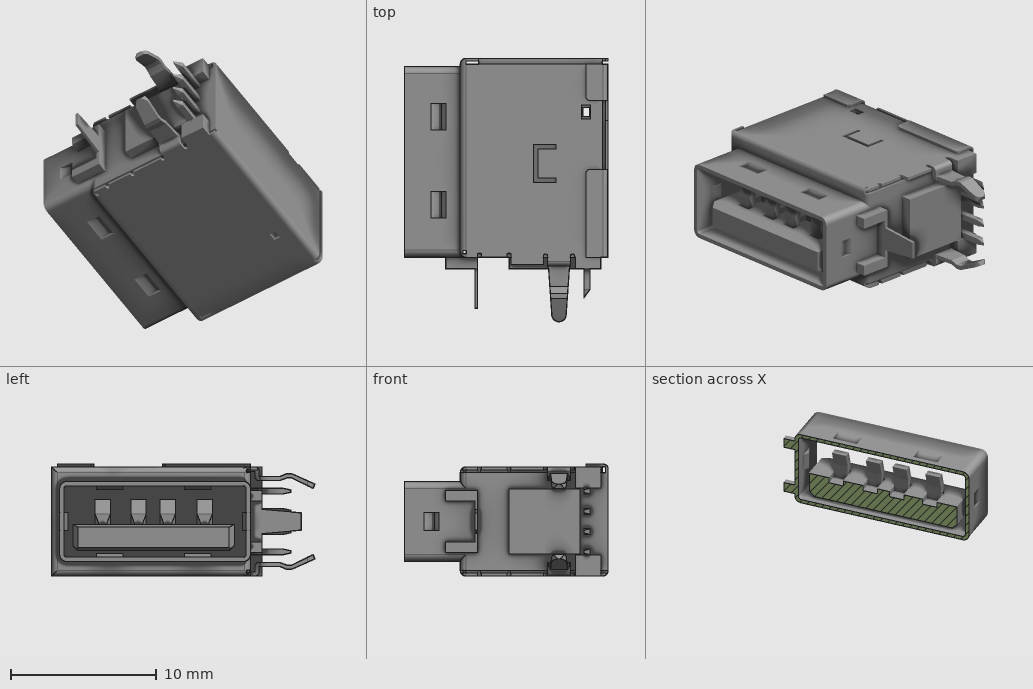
import cadquery as cq
import math


EPS = 0.05
SHEET = 0.2

MOUTH_WIDTH = 13.1
MOUTH_HEIGHT = 5.5
MOUTH_WALL = 0.3
MOUTH_RADIUS = 0.5
CAVITY_DEPTH = 9.0

LENGTH = 14.0
SHELL_FRONT = 3.84
SHELL_WIDTH = 13.66
SHELL_HEIGHT = 7.5
SHELL_TOP = SHELL_HEIGHT / 2
BEND_RADIUS = 0.4
GAP = 0.2
INSULATOR_TOP = SHELL_TOP - SHEET - GAP

STANDOFF = 0.8
BLADE_TIP = 3.5
LEG_TIP = 4.43
LEG_CENTER = 10.62
LEG_THICKNESS = 0.3

CONTACT_Y = (3.14, 5.68, 7.68, 10.14)
CONTACT_WIDTH = 1.05
TONGUE_TOP = -0.19
SLOT_DEPTH = 0.4
PIN_COUNT = 4
PIN_PITCH = 1.39


def block(x0, x1, y0, y1, z0, z1):
    """Box given by its limits."""
    return cq.Workplane("XY").box(x1 - x0, y1 - y0, z1 - z0, centered=False).translate((x0, y0, z0))


def mirrored_z(shape):
    """The shape together with its mirror image about z = 0."""
    return shape.union(shape.mirror("XY"))


def profile_along_y(points, y0, y1):
    """Prism along Y with an outline of (x, z) points."""
    return cq.Workplane("XZ", origin=(0, y1, 0)).polyline(points).close().extrude(y1 - y0)


def shell():
    """Solid envelope of the collar and the main shell, before hollowing."""
    collar = block(0, SHELL_FRONT + 1, 0, MOUTH_WIDTH, -MOUTH_HEIGHT / 2, MOUTH_HEIGHT / 2)
    collar = collar.edges("|X").fillet(MOUTH_RADIUS)
    body = block(SHELL_FRONT, LENGTH, 0, SHELL_WIDTH, -SHELL_TOP, SHELL_TOP)
    body = body.faces("<X").edges().fillet(BEND_RADIUS)
    body = body.faces(">X").edges("<Z").fillet(BEND_RADIUS)
    return body.union(collar)


def cavity():
    """Plug opening inside the collar."""
    half = MOUTH_HEIGHT / 2 - MOUTH_WALL
    opening = block(0, CAVITY_DEPTH, MOUTH_WALL, MOUTH_WIDTH - MOUTH_WALL, -half, half)
    return opening.edges("|X").fillet(MOUTH_RADIUS - MOUTH_WALL)


def tongue():
    """Insulator tongue with bevelled lead-in and a slot for each contact."""
    front, y0, y1, z0, z1 = 0.55, 1.1, 12.2, -2.0, TONGUE_TOP
    slot_front, slot_back = 1.8, 4.0
    lead_in, bevel_y, bevel_z = 0.5, 0.36, 0.2
    body = block(front, CAVITY_DEPTH + EPS, y0, y1, z0, z1)
    body = body.edges("|X and <Z").chamfer(bevel_y)
    nose_top = [
        (front, z1 - bevel_z),
        (front + lead_in, z1),
        (front, z1),
    ]
    nose_bottom = [
        (front, z0 + bevel_z),
        (front + lead_in, z0),
        (front, z0),
    ]
    for nose in (nose_top, nose_bottom):
        body = body.cut(profile_along_y(nose, y0, y1))
    for side, inward in ((y0, 1), (y1, -1)):
        corner = [
            (front, side),
            (front + lead_in, side),
            (front, side + inward * bevel_y),
        ]
        body = body.cut(cq.Workplane("XY", origin=(0, 0, z0)).polyline(corner).close().extrude(z1 - z0))
    for y in CONTACT_Y:
        half = CONTACT_WIDTH / 2
        body = body.cut(block(slot_front, slot_back, y - half, y + half, z1 - SLOT_DEPTH, z1))
    return body


def tetrahedron(corners):
    """Solid with four triangular faces."""
    faces = []
    for skipped in range(4):
        triangle = [cq.Vector(*corner) for index, corner in enumerate(corners) if index != skipped]
        faces.append(cq.Face.makeFromWires(cq.Wire.makePolygon(triangle, close=True)))
    return cq.Workplane(cq.Solid.makeSolid(cq.Shell.makeShell(faces)))


def contact(y):
    """Contact standing in its tongue slot: bevelled towards the foot, leaning back at the top."""
    front, thickness, lean, shoulder_z, top_z = 1.95, 0.5, 0.3, 0.52, 1.52
    bevel_y, bevel_x = 0.42, 0.42
    foot_z = TONGUE_TOP - SLOT_DEPTH
    half = CONTACT_WIDTH / 2
    side_outline = [
        (front, foot_z - EPS),
        (front, shoulder_z),
        (front + lean, top_z),
        (front + lean + thickness, top_z),
        (front + thickness, shoulder_z),
        (front + thickness, foot_z - EPS),
    ]
    body = profile_along_y(side_outline, y - half, y + half)
    for side in (-1, 1):
        edge_y = y + side * half
        bevel = tetrahedron([
            (front, edge_y, shoulder_z),
            (front, edge_y, foot_z),
            (front, edge_y - side * bevel_y, foot_z),
            (front + bevel_x, edge_y, foot_z),
        ])
        body = body.cut(bevel)
    return body


SPRING_DIP = 0.26
SPRING_LENGTH = 1.03
SPRING_RAMP = 0.62
SPRING_FLAT = 0.1
WALL_SPRING_X = 1.82
WALL_SPRING_Y = (3.62, 9.66)
WALL_SPRING_WIDTH = 1.82
SIDE_SPRING_X = 1.34
SIDE_SPRING_WIDTH = 1.22


def spring_outline(x, surface):
    """Side outline of a spring as (x, height), where the outer wall face is at height surface."""
    outer = [
        (x, surface),
        (x + SPRING_RAMP, surface - SPRING_DIP),
        (x + SPRING_RAMP + SPRING_FLAT, surface - SPRING_DIP),
        (x + SPRING_LENGTH, surface),
    ]
    inner = [(along, height - MOUTH_WALL) for along, height in reversed(outer)]
    return outer + inner


def add_latch_springs(part):
    """Two springs in the top and bottom walls and one in each side wall."""
    top = MOUTH_HEIGHT / 2
    half = WALL_SPRING_WIDTH / 2
    for y in WALL_SPRING_Y:
        window = block(
            WALL_SPRING_X, WALL_SPRING_X + SPRING_LENGTH, y - half, y + half, top - MOUTH_WALL - EPS, top
        )
        spring = profile_along_y(spring_outline(WALL_SPRING_X, top), y - half, y + half)
        part = part.cut(mirrored_z(window)).union(spring).union(spring.mirror("XY"))
    half = SIDE_SPRING_WIDTH / 2
    middle = MOUTH_WIDTH / 2
    window = block(
        SIDE_SPRING_X, SIDE_SPRING_X + SPRING_LENGTH, middle - MOUTH_WALL - EPS, middle, -half, half
    )
    spring = (
        cq.Workplane("XY", origin=(0, 0, -half))
        .polyline(spring_outline(SIDE_SPRING_X, middle))
        .close()
        .extrude(SIDE_SPRING_WIDTH)
    )
    for far_side in (True, False):
        placed_window = window if far_side else window.mirror("XZ")
        placed_spring = spring if far_side else spring.mirror("XZ")
        part = part.cut(placed_window.translate((0, middle, 0)))
        part = part.union(placed_spring.translate((0, middle, 0)))
    return part


SLIT_DEPTH = 0.25
CORNER_RELIEF_END = 5.1
BACK_GAP_START = 13.6
LOWER_TAB_END = 6.04
BACK_DIP_START = 9.4
UPPER_TAB_START = 10.75


def shell_clearances():
    """Gaps left between the folded sheet and the insulator."""
    front = SHELL_FRONT + BEND_RADIUS
    slit = block(SHELL_FRONT, LENGTH, 0, SLIT_DEPTH, INSULATOR_TOP, SHELL_TOP - SHEET)
    cuts = mirrored_z(slit)
    side_y1 = SHELL_WIDTH - SHEET
    side_y0 = side_y1 - GAP
    for x0, x1 in ((front, CORNER_RELIEF_END), (BACK_GAP_START, LENGTH)):
        cuts = cuts.union(block(x0, x1, side_y0, side_y1, -SHELL_TOP, SHELL_TOP))
    cuts = cuts.union(block(BACK_GAP_START, LENGTH - SHEET, 0, SHELL_WIDTH, INSULATOR_TOP, SHELL_TOP))
    step = block(CORNER_RELIEF_END, BACK_GAP_START, side_y0, SHELL_WIDTH, SHELL_TOP - SHEET, SHELL_TOP)
    back_dip = block(LENGTH - SHEET, LENGTH, BACK_DIP_START, UPPER_TAB_START, SHELL_TOP - SHEET, SHELL_TOP)
    cuts = cuts.union(step).union(back_dip)
    corner = block(front - GAP, front, SLIT_DEPTH, SLIT_DEPTH + GAP, -SHELL_TOP, SHELL_TOP)
    return cuts.union(corner)


def shell_openings():
    """Stepped through hole, and U-shaped slot in the top sheet."""
    hole_x0, hole_x1, hole_y0, hole_y1 = 12.26, 12.7, 9.68, 10.28
    window_x0, window_x1, window_y0, window_y1 = 12.15, 12.77, 9.5, 10.44
    hole = block(hole_x0, hole_x1, hole_y0, hole_y1, -SHELL_TOP, SHELL_TOP)
    window = block(window_x0, window_x1, window_y0, window_y1, SHELL_TOP - SHEET, SHELL_TOP)
    hole = hole.union(window)
    slot_x0, slot_x1, slot_y0, slot_y1, slot = 8.88, 10.41, 5.14, 7.73, 0.3
    bottom = SHELL_TOP - SHEET
    slot_u = block(slot_x0, slot_x1, slot_y0, slot_y1, bottom, SHELL_TOP)
    slot_u = slot_u.cut(block(slot_x0 + slot, slot_x1, slot_y0 + slot, slot_y1 - slot, bottom, SHELL_TOP))
    return hole.union(slot_u)


def relief_notches():
    """Round-ended notches in the mounting edge of the top and bottom sheets."""
    width, deep, shallow = 0.28, 0.28, 0.22
    notches = cq.Workplane("XY")
    for x, depth in ((5.16, deep), (7.19, deep), (9.69, shallow), (11.56, shallow)):
        notch = block(x - width / 2, x + width / 2, -EPS, depth - width / 2, INSULATOR_TOP, SHELL_TOP)
        end = cq.Workplane("XY", origin=(x, depth - width / 2, INSULATOR_TOP)).circle(width / 2)
        notches = notches.union(notch).union(end.extrude(SHELL_TOP - INSULATOR_TOP))
    return mirrored_z(notches)


def back_tabs():
    """Two tabs folded from the back wall over the top sheet."""
    tab_front, corner = 12.46, 0.2
    tab_top = SHELL_TOP + SHEET
    tabs = cq.Workplane("XY")
    for y0, y1, inner in ((0, LOWER_TAB_END, ">Y"), (UPPER_TAB_START, SHELL_WIDTH - SHEET - GAP, "<Y")):
        tab = block(tab_front, LENGTH, y0, y1, SHELL_TOP, tab_top)
        tab = tab.edges("|Z and <X and " + inner).chamfer(corner)
        wall = block(LENGTH - SHEET, LENGTH, y0, y1, INSULATOR_TOP - EPS, SHELL_TOP)
        tabs = tabs.union(tab.union(wall).edges("|Y and >X and >Z").fillet(BEND_RADIUS - EPS))
    return tabs


def insulator_feet():
    """Standoff pads of the insulator on the mounting side."""
    pad_x0, pad_x1, pad_half = 7.19, 12.05, 2.24
    foot_x0, foot_x1, foot_z = 11.74, 13.5, 2.29
    pad = block(pad_x0, pad_x1, -STANDOFF, EPS, -pad_half, pad_half)
    foot = block(foot_x0, foot_x1, -STANDOFF, EPS, foot_z, SHELL_TOP)
    return pad.union(mirrored_z(foot))


def sheet_lip():
    """Short lip continuing the top sheet past the mounting edge."""
    lip_x0, lip_x1, reach = 7.33, 9.55, 0.48
    return block(lip_x0, lip_x1, -reach, EPS, SHELL_TOP - SHEET, SHELL_TOP)


def grounding_blade():
    """C-shaped bracket on the collar with a tapered solder blade."""
    arm_x0, arm_x1, arm_z0, arm_z1 = 2.84, 5.04, 1.4, 2.13
    root_half, tip_half = 0.83, 0.6
    arm = block(arm_x0, arm_x1, -STANDOFF, EPS, arm_z0, arm_z1)
    web = block(arm_x1 - SHEET, arm_x1, -STANDOFF, EPS, -arm_z1, arm_z1)
    blade = (
        cq.Workplane("YZ", origin=(arm_x1 - SHEET, 0, 0))
        .polyline([
            (0, -root_half),
            (0, root_half),
            (-STANDOFF, root_half),
            (-BLADE_TIP, tip_half),
            (-BLADE_TIP, -tip_half),
            (-STANDOFF, -root_half),
        ])
        .close()
        .extrude(SHEET)
    )
    return mirrored_z(arm).union(web).union(blade)


def mounting_leg():
    """Board leg: joggled strip whose width tapers to a round tip."""
    bend_half, root_half, tip_half = 0.78, 0.73, 0.5
    t = LEG_THICKNESS
    root_y = SLIT_DEPTH + EPS
    top = SHELL_TOP
    low = 3.1
    crest = 3.29
    run_end, crest_start, crest_end = -2.02, -2.5, -2.83
    tip_z, tip_slant = 2.57, 0.13
    arc = t * math.sqrt(0.5)
    side = (
        cq.Workplane("YZ", origin=(LEG_CENTER - bend_half, 0, 0))
        .moveTo(root_y, top)
        .lineTo(-t, top)
        .threePointArc((-t - arc, top - t + arc), (-2 * t, top - t))
        .lineTo(-2 * t, low)
        .lineTo(run_end, low)
        .lineTo(crest_start, crest)
        .lineTo(crest_end, crest)
        .lineTo(-LEG_TIP, tip_z)
        .lineTo(-LEG_TIP + tip_slant, tip_z - t)
        .lineTo(crest_end, crest - t)
        .lineTo(crest_start, crest - t)
        .lineTo(run_end, low - t)
        .lineTo(-2 * t, low - t)
        .threePointArc((-2 * t + arc, low - arc), (-t, low))
        .lineTo(-t, top - t)
        .lineTo(root_y, top - t)
        .close()
    )
    strip = side.extrude(2 * bend_half)
    bend_end = -2 * t - EPS
    outline = (
        cq.Workplane("XY")
        .moveTo(LEG_CENTER - bend_half, root_y)
        .lineTo(LEG_CENTER - bend_half, bend_end)
        .lineTo(LEG_CENTER - root_half, bend_end)
        .lineTo(LEG_CENTER - tip_half, -LEG_TIP + tip_half)
        .threePointArc((LEG_CENTER, -LEG_TIP), (LEG_CENTER + tip_half, -LEG_TIP + tip_half))
        .lineTo(LEG_CENTER + root_half, bend_end)
        .lineTo(LEG_CENTER + bend_half, bend_end)
        .lineTo(LEG_CENTER + bend_half, root_y)
        .close()
        .extrude(SHELL_TOP)
    )
    return strip.intersect(outline)


def signal_pin(z):
    """Contact tail with a slanted, pointed end."""
    x0, x1, half, tip_half, shoulder, tip = 12.33, 12.76, 0.21, 0.08, 2.2, 2.78
    pin = (
        cq.Workplane("XY", origin=(0, 0, z - half))
        .polyline([(x0, EPS), (x1, EPS), (x1, -shoulder), (x0, -tip)])
        .close()
        .extrude(2 * half)
    )
    point = (
        cq.Workplane("YZ")
        .polyline([
            (EPS, z - half),
            (EPS, z + half),
            (-shoulder, z + half),
            (-tip, z + tip_half),
            (-tip, z - tip_half),
            (-shoulder, z - half),
        ])
        .close()
        .extrude(LENGTH)
    )
    return pin.intersect(point)


result = shell().cut(cavity()).cut(shell_clearances()).cut(shell_openings()).cut(relief_notches())
result = add_latch_springs(result)
result = result.union(tongue())
for contact_y in CONTACT_Y:
    result = result.union(contact(contact_y))
result = result.union(back_tabs()).union(insulator_feet()).union(sheet_lip()).union(grounding_blade())
result = result.union(mirrored_z(mounting_leg()))
for row in range(PIN_COUNT):
    result = result.union(signal_pin((row - (PIN_COUNT - 1) / 2) * PIN_PITCH))